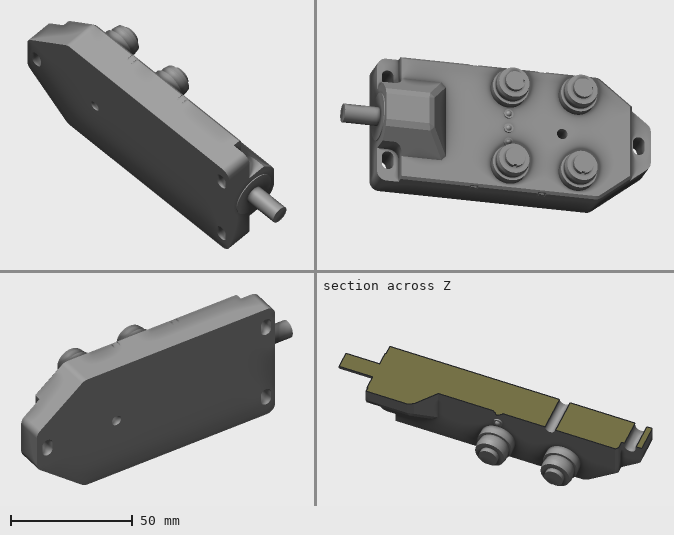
import cadquery as cq

TOTAL_LENGTH = 131.7
BODY_LENGTH = 116.4
BODY_WIDTH = 54.0
BODY_HEIGHT = 16.1
CORNER_RADIUS = 4.0
TOP_CHAMFER = 1.0
NOSE_WIDTH = 17.6
SHOULDER_X = 23.2

LEDGE_HEIGHT = 11.9
NOSE_LEDGE_LENGTH = 9.0
SLOT_LENGTH = 7.8
SLOT_WIDTH = 5.0
NOSE_SLOT_X = 5.1
REAR_SLOT_X = 112.0
REAR_SLOT_Z = 17.9
REAR_POCKET_X = 107.3
REAR_POCKET_Z = 13.0
REAR_POCKET_RADIUS = 4.3
CENTER_HOLE_X = 38.9
CENTER_HOLE_DIAMETER = 4.5

HOOD_HEIGHT = 26.1
HOOD_TOP_WIDTH = 14.5
HOOD_BASE_X = 88.4
HOOD_TOP_X = 96.5
HOOD_CHAMFER = 1.6

CABLE_DIAMETER = 7.8
CABLE_HEIGHT = 14.1
COLLAR_DIAMETER = 19.8
COLLAR_THICKNESS = 0.4

CONNECTOR_XS = (32.8, 61.8)
CONNECTOR_Z = 16.9
RING_RADIUS = 7.6
RING_TOP = 20.0
SLEEVE_RADIUS = 6.5
BEAD_RADIUS = 6.8
BEAD_BOTTOM = 22.5
BEAD_TOP = 23.3
SLEEVE_TOP = 25.3
TIP_RADIUS = 4.1
CONNECTOR_TOP = 27.3
KEYWAY_WIDTH = 1.3
KEYWAY_DEPTH = 0.7

LAMP_X = CONNECTOR_XS[1]
LAMP_PITCH = 6.3
LAMP_BASE_RADIUS = 2.0
LAMP_BASE_HEIGHT = 0.7
LAMP_DOME_RADIUS = 1.3
LAMP_HEIGHT = 1.6

NOTCH_XS = (47.1, 76.0)
NOTCH_WIDTH = 3.5
NOTCH_DEPTH = 0.5
TONGUE_WIDTH = 2.1
TONGUE_TOP = 14.5

SIDE_Z = BODY_WIDTH / 2


def plan(y=0):
    """Sketch plane seen from +Y, with local x along X and local y along -Z."""
    return cq.Workplane(cq.Plane(origin=(0, y, 0), xDir=(1, 0, 0), normal=(0, 1, 0)))


def block(x_range, y_range, z_range):
    """Box given by its limits along each axis."""
    limits = (x_range, y_range, z_range)
    size = [high - low for low, high in limits]
    start = [low for low, high in limits]
    return cq.Workplane("XY").box(*size, centered=False).translate(tuple(start))


def make_body():
    outline = [
        (0, -NOSE_WIDTH / 2),
        (SHOULDER_X, -SIDE_Z),
        (BODY_LENGTH, -SIDE_Z),
        (BODY_LENGTH, SIDE_Z),
        (SHOULDER_X, SIDE_Z),
        (0, NOSE_WIDTH / 2),
    ]
    body = plan().polyline(outline).close().extrude(BODY_HEIGHT).edges("|Y").fillet(CORNER_RADIUS)
    nose_step = block((0, NOSE_LEDGE_LENGTH), (LEDGE_HEIGHT, BODY_HEIGHT), (-SIDE_Z, SIDE_Z))
    return body.cut(nose_step).faces(">Y").chamfer(TOP_CHAMFER)


def make_hood():
    top_z = HOOD_TOP_WIDTH / 2
    base_z = top_z + HOOD_HEIGHT - LEDGE_HEIGHT
    section = [
        (LEDGE_HEIGHT, -base_z),
        (HOOD_HEIGHT, -top_z),
        (HOOD_HEIGHT, top_z),
        (LEDGE_HEIGHT, base_z),
    ]
    front_slope = (HOOD_TOP_X - HOOD_BASE_X) / (HOOD_HEIGHT - BODY_HEIGHT)
    foot_x = HOOD_BASE_X - front_slope * (BODY_HEIGHT - LEDGE_HEIGHT)
    profile = [
        (foot_x, LEDGE_HEIGHT),
        (HOOD_TOP_X, HOOD_HEIGHT),
        (BODY_LENGTH, HOOD_HEIGHT),
        (BODY_LENGTH, LEDGE_HEIGHT),
    ]
    prism = cq.Workplane("YZ").polyline(section).close().extrude(BODY_LENGTH)
    side_view = cq.Workplane("XY").polyline(profile).close().extrude(base_z, both=True)
    hood = prism.intersect(side_view)
    return hood.edges("not(<Y or >X)").chamfer(HOOD_CHAMFER)


def rear_pocket():
    """Open corner above the +Z rear slot, with its inside corner rounded."""
    pocket = block(
        (REAR_POCKET_X, BODY_LENGTH),
        (LEDGE_HEIGHT, HOOD_HEIGHT),
        (REAR_POCKET_Z, SIDE_Z),
    )
    return pocket.edges("|Y and <X and <Z").fillet(REAR_POCKET_RADIUS)


def mounting_holes():
    slot_centers = [(NOSE_SLOT_X, 0), (REAR_SLOT_X, REAR_SLOT_Z), (REAR_SLOT_X, -REAR_SLOT_Z)]
    slots = plan().pushPoints(slot_centers).slot2D(SLOT_LENGTH, SLOT_WIDTH, 90).extrude(LEDGE_HEIGHT)
    hole = plan().center(CENTER_HOLE_X, 0).circle(CENTER_HOLE_DIAMETER / 2).extrude(BODY_HEIGHT)
    return slots.union(hole)


def label_notch(x):
    """Notch in the +Z side whose floor runs out at the ledge height."""
    floor = [
        (SIDE_Z, LEDGE_HEIGHT),
        (SIDE_Z, BODY_HEIGHT),
        (SIDE_Z - NOTCH_DEPTH, BODY_HEIGHT),
    ]
    plane = cq.Plane(origin=(x, 0, 0), xDir=(0, 0, 1), normal=(-1, 0, 0))
    notch = cq.Workplane(plane).polyline(floor).close().extrude(NOTCH_WIDTH / 2, both=True)
    tongue = block(
        (x - TONGUE_WIDTH / 2, x + TONGUE_WIDTH / 2),
        (LEDGE_HEIGHT, TONGUE_TOP),
        (SIDE_Z - NOTCH_DEPTH, SIDE_Z),
    )
    return notch.cut(tongue)


def connector():
    """Connector on the Y axis with its keyway facing -X."""
    half_section = [
        (0, LEDGE_HEIGHT),
        (RING_RADIUS, LEDGE_HEIGHT),
        (RING_RADIUS, RING_TOP),
        (SLEEVE_RADIUS, RING_TOP),
        (BEAD_RADIUS, BEAD_BOTTOM),
        (BEAD_RADIUS, BEAD_TOP),
        (SLEEVE_RADIUS, SLEEVE_TOP),
        (TIP_RADIUS, SLEEVE_TOP),
        (TIP_RADIUS, CONNECTOR_TOP),
        (0, CONNECTOR_TOP),
    ]
    turned = cq.Workplane("XY").polyline(half_section).close().revolve(360, (0, 0), (0, 1))
    keyway = block(
        (-TIP_RADIUS, KEYWAY_DEPTH - TIP_RADIUS),
        (SLEEVE_TOP, CONNECTOR_TOP),
        (-KEYWAY_WIDTH / 2, KEYWAY_WIDTH / 2),
    )
    return turned.cut(keyway)


def lamp(z):
    base = plan(BODY_HEIGHT).center(LAMP_X, -z).circle(LAMP_BASE_RADIUS).extrude(LAMP_BASE_HEIGHT)
    dome_center_y = BODY_HEIGHT + LAMP_HEIGHT - LAMP_DOME_RADIUS
    dome = cq.Workplane("XY").sphere(LAMP_DOME_RADIUS).translate((LAMP_X, dome_center_y, z))
    return base.union(dome)


def cable():
    start = cq.Workplane("YZ", origin=(BODY_LENGTH, 0, 0)).center(CABLE_HEIGHT, 0)
    collar = start.circle(COLLAR_DIAMETER / 2).extrude(COLLAR_THICKNESS)
    return collar.union(start.circle(CABLE_DIAMETER / 2).extrude(TOTAL_LENGTH - BODY_LENGTH))


result = make_body().union(make_hood())
pocket = rear_pocket()
result = result.cut(pocket).cut(pocket.mirror("XY"))
result = result.cut(mounting_holes())

for x in NOTCH_XS:
    notch = label_notch(x)
    result = result.cut(notch).cut(notch.mirror("XY"))

lower_connector = connector().rotate((0, 0, 0), (0, 1, 0), -90)
for x in CONNECTOR_XS:
    result = result.union(connector().translate((x, 0, CONNECTOR_Z)))
    result = result.union(lower_connector.translate((x, 0, -CONNECTOR_Z)))

for row in (-1, 0, 1):
    result = result.union(lamp(row * LAMP_PITCH))

result = result.union(cable())